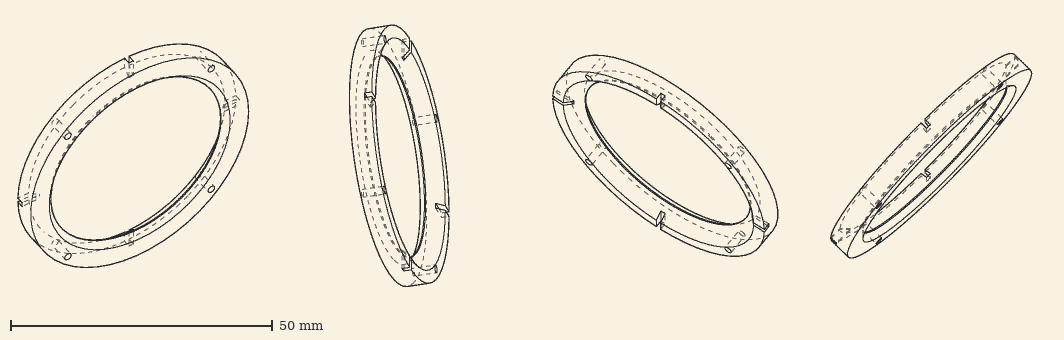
import cadquery as cq

outer_radius = 25.0
bore_radius = 19.5
mouth_radius = 22.5
thickness = 4.5
taper_depth = 3.0
lip_thickness = 0.25

slot_count = 4
slot_width = 1.0
slot_depth = 1.5

hole_diameter = 1.5
hole_circle_radius = 23.25
hole_start_angle = 45.0

front_x = -thickness / 2
back_x = thickness / 2
lip_start_x = front_x + taper_depth
back_flare_depth = thickness - taper_depth - lip_thickness


def ring_body():
    """Ring whose bore narrows from the mouth to a short lip, then flares to the back."""
    profile = [
        (front_x, mouth_radius),
        (front_x, outer_radius),
        (back_x, outer_radius),
        (back_x, bore_radius + back_flare_depth),
        (lip_start_x + lip_thickness, bore_radius),
        (lip_start_x, bore_radius),
    ]
    section = cq.Workplane("XY").polyline(profile).close()
    return section.revolve(360, (0, 0, 0), (1, 0, 0))


def slot_cutters():
    """Two crossing bars, each cutting a pair of opposite slots."""
    bar_length = 2 * outer_radius + slot_width
    bar = cq.Workplane("XY").box(slot_depth, bar_length, slot_width)
    bar = bar.translate((front_x + slot_depth / 2, 0, 0))
    cutters = bar
    for i in range(1, slot_count // 2):
        cutters = cutters.union(bar.rotate((0, 0, 0), (1, 0, 0), i * 360 / slot_count))
    return cutters


def hole_cutters():
    """Straight holes parallel to the ring axis."""
    plane = cq.Workplane("YZ", origin=(front_x, 0, 0))
    centres = plane.polarArray(hole_circle_radius, hole_start_angle, 360, slot_count)
    return centres.circle(hole_diameter / 2).extrude(thickness)


result = ring_body().cut(slot_cutters()).cut(hole_cutters())